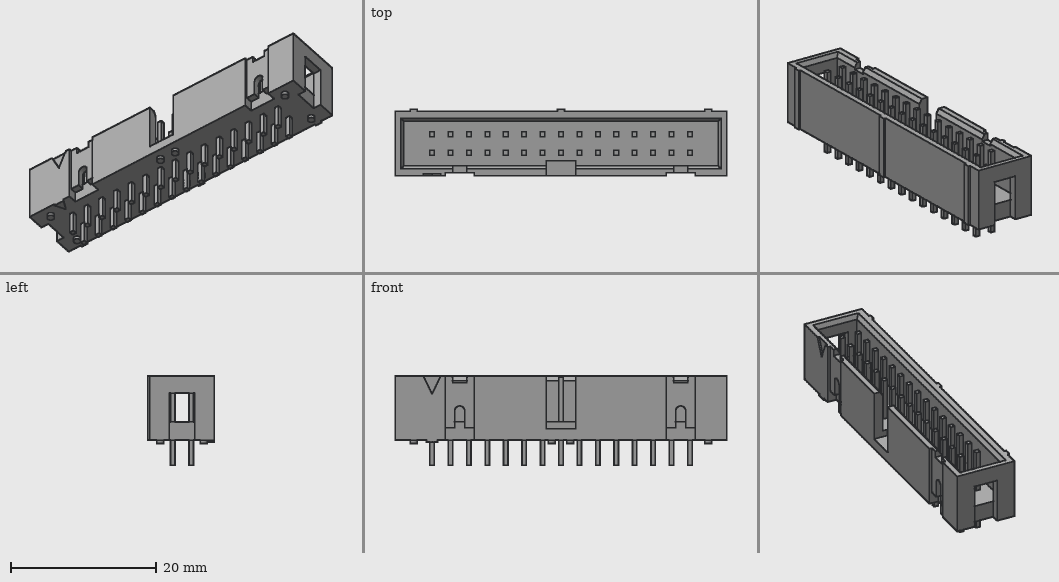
import cadquery as cq

PITCH = 2.5397
COLUMNS = 15
PIN_SIZE = 0.65
PIN_TOP_GAP = 0.25
PIN_TAIL = 3.47

LENGTH = 45.7
DEPTH = 8.9
HEIGHT = 8.85
FLOOR_TOP = 2.5
END_WALL = 1.2
LONG_WALL = 1.35
LEAD_IN_WIDTH = 0.4
LEAD_IN_HEIGHT = 0.7

MID_X = LENGTH / 2
MID_Y = DEPTH / 2
FIRST_PIN_X = MID_X - PITCH * (COLUMNS - 1) / 2

WINDOW_WIDTH = 3.47
WINDOW_TOP = 6.5

KEY_WIDTH = 4.02
KEY_DEPTH = 2.05
KEY_BOTTOM = 1.55

LATCH_COLUMNS = (1.5, 13.5)
LATCH_WIDTH = 4.0
LATCH_DEPTH = 0.4
UNDERCUT_TOP = 1.7
RIM_NOTCH_WIDTH = 1.95
RIM_NOTCH_DEPTH = 0.95
ARCH_WIDTH = 1.35
ARCH_TOP = 4.7

RIB_WIDTH = 1.0
RIB_DEPTH = 0.27
FOOT_DIAMETER = 1.0
FOOT_HEIGHT = 0.5
FOOT_INSET_X = 2.55
FOOT_INSET_Y = 1.45
MID_FOOT_OFFSET = PITCH / 2

MARK_WIDTH = 2.42
MARK_HEIGHT = 2.5
MARK_DEPTH = 0.27
BASE_MARK_WIDTH = 1.55
BASE_MARK_LENGTH = 1.55
BASE_MARK_HEIGHT = 0.27


def block(x_range, y_range, z_range):
    """Axis-aligned box given by its limits along each axis."""
    (x0, x1), (y0, y1), (z0, z1) = x_range, y_range, z_range
    return cq.Workplane("XY").box(x1 - x0, y1 - y0, z1 - z0, centered=False).translate((x0, y0, z0))


def span(centre, width):
    """Limits of a width centred on a position."""
    return centre - width / 2, centre + width / 2


def cavity():
    """Open pocket inside the walls, with a sloped lead-in around the rim."""
    inner_length = LENGTH - 2 * END_WALL
    inner_depth = DEPTH - 2 * LONG_WALL
    pocket = block(span(MID_X, inner_length), span(MID_Y, inner_depth), (FLOOR_TOP, HEIGHT))
    lead_in = (
        cq.Workplane("XY", origin=(MID_X, MID_Y, HEIGHT - LEAD_IN_HEIGHT))
        .rect(inner_length, inner_depth)
        .workplane(offset=LEAD_IN_HEIGHT)
        .rect(inner_length + 2 * LEAD_IN_WIDTH, inner_depth + 2 * LEAD_IN_WIDTH)
        .loft(ruled=True)
    )
    return pocket.union(lead_in)


def end_window(x_start):
    """Opening through one end wall, running down to the underside."""
    return block((x_start, x_start + END_WALL), span(MID_Y, WINDOW_WIDTH), (0, WINDOW_TOP))


def latch_cut(x):
    """Recess with a rim notch, a bottom undercut and an arched opening above it."""
    recess = block(span(x, LATCH_WIDTH), (0, LATCH_DEPTH), (0, HEIGHT))
    undercut = block(span(x, LATCH_WIDTH), (0, LONG_WALL), (0, UNDERCUT_TOP))
    rim_notch = block(span(x, RIM_NOTCH_WIDTH), (0, LONG_WALL), (HEIGHT - RIM_NOTCH_DEPTH, HEIGHT))
    arch_left, arch_right = span(x, ARCH_WIDTH)
    arch_spring = ARCH_TOP - ARCH_WIDTH / 2
    arch = (
        cq.Workplane("XZ")
        .moveTo(arch_left, 0)
        .lineTo(arch_left, arch_spring)
        .threePointArc((x, ARCH_TOP), (arch_right, arch_spring))
        .lineTo(arch_right, 0)
        .close()
        .extrude(-LONG_WALL)
    )
    return recess.union(undercut).union(rim_notch).union(arch)


def pin_one_recess():
    """Shallow triangle in the front face pointing down at pin 1."""
    left, right = span(FIRST_PIN_X, MARK_WIDTH)
    corners = [(left, HEIGHT), (right, HEIGHT), (FIRST_PIN_X, HEIGHT - MARK_HEIGHT)]
    return cq.Workplane("XZ").polyline(corners).close().extrude(-MARK_DEPTH)


def pin_one_base_mark():
    """Raised triangle on the underside pointing back at pin 1."""
    left, right = span(FIRST_PIN_X, BASE_MARK_WIDTH)
    corners = [(left, 0), (right, 0), (FIRST_PIN_X, BASE_MARK_LENGTH)]
    return cq.Workplane("XY").polyline(corners).close().extrude(-BASE_MARK_HEIGHT)


def feet():
    """Round stand-off feet in a row near each long side."""
    x_positions = (
        FOOT_INSET_X,
        MID_X - MID_FOOT_OFFSET,
        MID_X + MID_FOOT_OFFSET,
        LENGTH - FOOT_INSET_X,
    )
    y_positions = (FOOT_INSET_Y, DEPTH - FOOT_INSET_Y)
    centres = [(x, y) for x in x_positions for y in y_positions]
    return cq.Workplane("XY").pushPoints(centres).circle(FOOT_DIAMETER / 2).extrude(-FOOT_HEIGHT)


def pins():
    """Two rows of square pins passing through the floor."""
    return (
        cq.Workplane("XY", origin=(MID_X, MID_Y, -PIN_TAIL))
        .rarray(PITCH, PITCH, COLUMNS, 2)
        .rect(PIN_SIZE, PIN_SIZE)
        .extrude(PIN_TAIL + HEIGHT - PIN_TOP_GAP)
    )


housing = block((0, LENGTH), (0, DEPTH), (0, HEIGHT)).cut(cavity())
for window_x in (0, LENGTH - END_WALL):
    housing = housing.cut(end_window(window_x))
for column in LATCH_COLUMNS:
    housing = housing.cut(latch_cut(FIRST_PIN_X + column * PITCH))
housing = housing.cut(block(span(MID_X, KEY_WIDTH), (0, KEY_DEPTH), (KEY_BOTTOM, HEIGHT)))
housing = housing.cut(pin_one_recess())

for rib_x in (FOOT_INSET_X, MID_X, LENGTH - FOOT_INSET_X):
    housing = housing.union(block(span(rib_x, RIB_WIDTH), (DEPTH, DEPTH + RIB_DEPTH), (0, HEIGHT)))
housing = housing.union(feet()).union(pin_one_base_mark())

result = housing.union(pins())